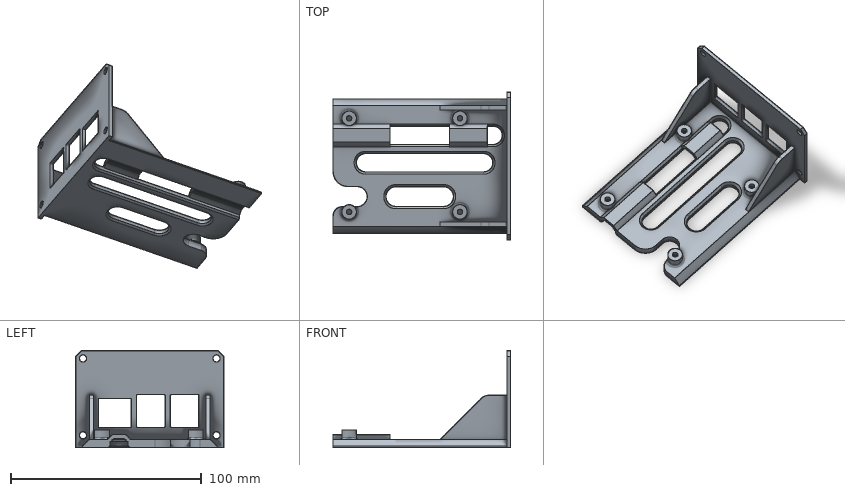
import cadquery as cq
import math

length = 93.0
panel_width = 77.6
panel_height = 50.8
panel_thickness = 1.95
panel_corner = 3.0

base_length = length - panel_thickness
base_thickness = 4.3
base_width = 70.5
side_lip = 0.7
side_bevel = base_thickness - side_lip

screw_hole_diameter = 3.6
screw_hole_y = 35.0
screw_hole_low_z = 6.4
screw_hole_high_z = 46.7
window_sill_z = 10.6
square_window_y = 18.2
square_window_width = 17.0
square_window_height = 15.0
tall_window_ys = (-0.6, -18.2)
tall_window_width = 14.9
tall_window_height = 17.1
tall_window_radius = 0.5

gusset_thickness = 2.2
gusset_inset = 0.1
gusset_start_x = 56.2
gusset_height = 23.2
gusset_radius = 5.95
gusset_outer_y = base_width / 2 - side_bevel - gusset_inset

standoff_xs = (8.5, 66.5)
standoff_ys = (-24.0, 25.0)
standoff_diameter = 7.6
standoff_height = 4.9
standoff_fillet = 1.0
standoff_bore = 2.8

slot_top_chamfer = 1.2
slot_bottom_chamfer = 0.9
channel_y = 16.1
channel_end_x = 88.6
channel_width = 9.5
channel_start_x = -2 * channel_width
middle_slot_y = 1.8
middle_slot_start_x = 12.3
middle_slot_end_x = 83.7
middle_slot_width = channel_width
short_slot_y = -16.0
short_slot_start_x = 27.8
short_slot_end_x = 63.1
short_slot_width = 10.2

notch_y = short_slot_y
notch_width = 10.4
notch_depth = 17.9
notch_mouth_radius_high = 8.0
notch_mouth_radius_low = 5.0

bridge_spans = ((0.0, 29.9), (60.9, 80.8))
bridge_flank_overlap = 0.1
bridge_base_width = channel_width + 2 * (slot_top_chamfer + bridge_flank_overlap)
bridge_rise = 2.5
bridge_thickness = 2.0
bridge_top_z = base_thickness + bridge_rise


def make_base():
    half = base_width / 2
    profile = [
        (-half, 0),
        (half, 0),
        (half, side_lip),
        (half - side_bevel, base_thickness),
        (-half + side_bevel, base_thickness),
        (-half, side_lip),
    ]
    return cq.Workplane("YZ").polyline(profile).close().extrude(base_length)


def make_panel():
    panel = (
        cq.Workplane("XY")
        .box(panel_thickness, panel_width, panel_height, centered=(False, True, False))
        .translate((base_length, 0, 0))
        .edges("|X and >Z")
        .chamfer(panel_corner)
    )
    face = cq.Workplane("YZ", origin=(base_length, 0, 0))
    screw_points = [
        (y, z)
        for y in (-screw_hole_y, screw_hole_y)
        for z in (screw_hole_low_z, screw_hole_high_z)
    ]
    panel = panel.cut(face.pushPoints(screw_points).circle(screw_hole_diameter / 2).extrude(panel_thickness))

    square_window = (
        face.center(square_window_y, window_sill_z + square_window_height / 2)
        .rect(square_window_width, square_window_height)
        .extrude(panel_thickness)
    )
    panel = panel.cut(square_window)
    for y in tall_window_ys:
        window = (
            face.center(y, window_sill_z + tall_window_height / 2)
            .rect(tall_window_width, tall_window_height)
            .extrude(panel_thickness)
            .edges("|X")
            .fillet(tall_window_radius)
        )
        panel = panel.cut(window)
    return panel


def make_gusset(low_y):
    top_z = base_thickness + gusset_height
    corner_x = gusset_start_x + gusset_height
    half_turn = math.radians(22.5)
    tangent = gusset_radius * math.tan(half_turn)
    leg = tangent * math.cos(2 * half_turn)
    arc_end_x = corner_x + tangent
    arc_middle = (
        arc_end_x - gusset_radius * math.sin(half_turn),
        top_z - gusset_radius * (1 - math.cos(half_turn)),
    )
    return (
        cq.Workplane("XZ", origin=(0, low_y + gusset_thickness, 0))
        .moveTo(gusset_start_x, base_thickness)
        .lineTo(corner_x - leg, top_z - leg)
        .threePointArc(arc_middle, (arc_end_x, top_z))
        .lineTo(base_length, top_z)
        .lineTo(base_length, base_thickness)
        .close()
        .extrude(gusset_thickness)
    )


def make_standoff_skirt(x, y):
    radius = standoff_diameter / 2
    bulge = standoff_fillet * (1 - math.cos(math.radians(45)))
    return (
        cq.Workplane("XZ")
        .moveTo(0, base_thickness)
        .lineTo(radius + standoff_fillet, base_thickness)
        .threePointArc(
            (radius + bulge, base_thickness + bulge),
            (radius, base_thickness + standoff_fillet),
        )
        .lineTo(0, base_thickness + standoff_fillet)
        .close()
        .revolve(360, (0, 0, 0), (0, 1, 0))
        .translate((x, y, 0))
    )


def make_slot_cutter(start_x, end_x, y, width):
    def outline(z, margin):
        return cq.Workplane("XY", origin=((start_x + end_x) / 2, y, z)).slot2D(
            end_x - start_x + 2 * margin, width + 2 * margin
        )

    straight_slot = outline(0, 0).extrude(base_thickness)
    bottom_flare = outline(0, slot_bottom_chamfer).extrude(slot_bottom_chamfer, taper=45)
    top_flare = outline(base_thickness, slot_top_chamfer).extrude(-slot_top_chamfer, taper=45)
    skirt_clearance = outline(base_thickness, slot_top_chamfer).extrude(standoff_fillet)
    return straight_slot.union(top_flare).union(bottom_flare).union(skirt_clearance)


def make_notch_cutter():
    radius = notch_width / 2
    high_y = notch_y + radius
    low_y = notch_y - radius
    diagonal = math.cos(math.radians(45))
    big = notch_mouth_radius_high
    small = notch_mouth_radius_low
    return (
        cq.Workplane("XY")
        .moveTo(0, high_y + big)
        .threePointArc((big * (1 - diagonal), high_y + big * (1 - diagonal)), (big, high_y))
        .lineTo(notch_depth - radius, high_y)
        .threePointArc((notch_depth, notch_y), (notch_depth - radius, low_y))
        .lineTo(small, low_y)
        .threePointArc((small * (1 - diagonal), low_y - small * (1 - diagonal)), (0, low_y - small))
        .close()
        .extrude(base_thickness + standoff_fillet)
    )


def make_bridge(start_x, end_x):
    outer_half = bridge_base_width / 2
    top_half = outer_half - bridge_rise
    channel_half = channel_width / 2
    ceiling_z = bridge_top_z - bridge_thickness
    ceiling_half = top_half - bridge_thickness * math.tan(math.radians(22.5))
    shoulder_z = ceiling_z - (channel_half - ceiling_half)
    wall_foot_z = base_thickness - slot_top_chamfer
    profile = [
        (-outer_half, base_thickness),
        (-top_half, bridge_top_z),
        (top_half, bridge_top_z),
        (outer_half, base_thickness),
        (channel_half, wall_foot_z),
        (channel_half, shoulder_z),
        (ceiling_half, ceiling_z),
        (-ceiling_half, ceiling_z),
        (-channel_half, shoulder_z),
        (-channel_half, wall_foot_z),
    ]
    return (
        cq.Workplane("YZ", origin=(start_x, channel_y, 0))
        .polyline(profile)
        .close()
        .extrude(end_x - start_x)
    )


standoff_points = [(x, y) for x in standoff_xs for y in standoff_ys]

base = make_base()
for x, y in standoff_points:
    base = base.union(make_standoff_skirt(x, y))

base = base.cut(make_slot_cutter(channel_start_x, channel_end_x, channel_y, channel_width))
base = base.cut(make_slot_cutter(middle_slot_start_x, middle_slot_end_x, middle_slot_y, middle_slot_width))
base = base.cut(make_slot_cutter(short_slot_start_x, short_slot_end_x, short_slot_y, short_slot_width))
base = base.cut(make_notch_cutter())

for start_x, end_x in bridge_spans:
    base = base.union(make_bridge(start_x, end_x))

standoffs = (
    cq.Workplane("XY", origin=(0, 0, base_thickness))
    .pushPoints(standoff_points)
    .circle(standoff_diameter / 2)
    .extrude(standoff_height)
)
bores = (
    cq.Workplane("XY", origin=(0, 0, base_thickness))
    .pushPoints(standoff_points)
    .circle(standoff_bore / 2)
    .extrude(standoff_height)
)

result = base.union(make_panel()).union(standoffs)
for low_y in (-gusset_outer_y, gusset_outer_y - gusset_thickness):
    result = result.union(make_gusset(low_y))
result = result.cut(bores)